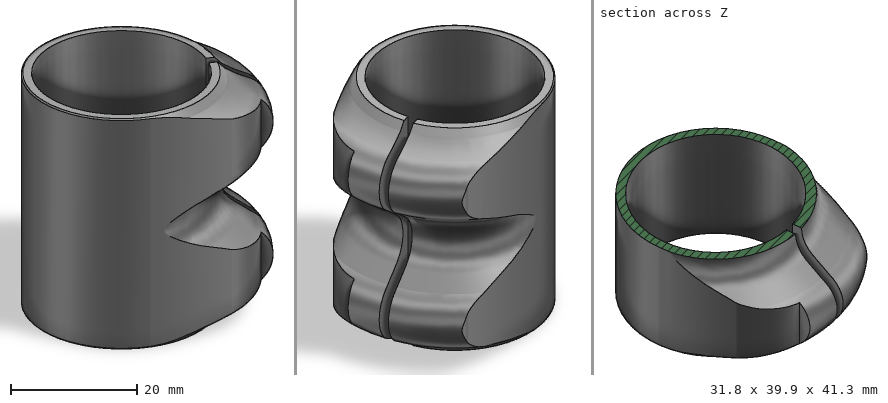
import cadquery as cq
import math

height = 41.25
half_height = height / 2
sleeve_diameter = 31.75
sleeve_radius = sleeve_diameter / 2
bore_radius = 14.25
slot_width = 1.65

end_radius = 15.65
bevel_radius = 16.85
bevel_z = 19.35
hollow_radius = 18.45
hollow_z = 18.3
crest_radius = 24.0
crest_z = 12.05
crest_half_width = 5.15
crest_foot_outer = 20.43
crest_foot_inner = 21.17
valley_edge_radius = 18.4
valley_edge_z = 4.7
valley_radius = 16.0

flare_start_y = 0.35
flare_radius = 59.85
tip_start_y = 19.6
tip_middle = (-12.35, 20.55)
tip_end = (-11.4, 21.2)
shoulder_start_y = 14.05
shoulder_middle = (11.6, 18.08)
step_x = 6.95
step_y = 21.0
outline_top = 24.75


def wavy_body():
    """Solid of revolution about Z, drawn from the top end to the bottom end."""
    outer_foot_z = crest_z + crest_half_width
    inner_foot_z = crest_z - crest_half_width
    return (
        cq.Workplane("XZ")
        .moveTo(0, half_height)
        .lineTo(end_radius, half_height)
        .lineTo(bevel_radius, bevel_z)
        .threePointArc((hollow_radius, hollow_z), (crest_foot_outer, outer_foot_z))
        .threePointArc((crest_radius, crest_z), (crest_foot_inner, inner_foot_z))
        .lineTo(valley_edge_radius, valley_edge_z)
        .threePointArc((valley_radius, 0), (valley_edge_radius, -valley_edge_z))
        .lineTo(crest_foot_inner, -inner_foot_z)
        .threePointArc((crest_radius, -crest_z), (crest_foot_outer, -outer_foot_z))
        .threePointArc((hollow_radius, -hollow_z), (bevel_radius, -bevel_z))
        .lineTo(end_radius, -half_height)
        .lineTo(0, -half_height)
        .close()
        .revolve(360, (0, 0, 0), (0, 1, 0))
    )


def flare_x(y):
    """Half width of the flared sides, which start tangent to the sleeve."""
    rise = y - flare_start_y
    return sleeve_radius - flare_radius + math.sqrt(flare_radius**2 - rise**2)


def plan_prism():
    """Plan outline over the full height: round back, flared sides, stepped +X shoulder."""
    tip_middle_y = (flare_start_y + tip_start_y) / 2
    shoulder_middle_y = (flare_start_y + shoulder_start_y) / 2
    return (
        cq.Workplane("XY", origin=(0, 0, -half_height))
        .moveTo(-sleeve_radius, 0)
        .threePointArc((0, -sleeve_radius), (sleeve_radius, 0))
        .lineTo(sleeve_radius, flare_start_y)
        .threePointArc(
            (flare_x(shoulder_middle_y), shoulder_middle_y),
            (flare_x(shoulder_start_y), shoulder_start_y),
        )
        .threePointArc(shoulder_middle, (step_x, step_y))
        .lineTo(step_x, outline_top)
        .lineTo(tip_end[0], outline_top)
        .lineTo(*tip_end)
        .threePointArc(tip_middle, (-flare_x(tip_start_y), tip_start_y))
        .threePointArc((-flare_x(tip_middle_y), tip_middle_y), (-sleeve_radius, flare_start_y))
        .close()
        .extrude(height)
    )


bore = cq.Workplane("XY").circle(bore_radius).extrude(half_height, both=True)

slot = cq.Workplane("XY").box(slot_width, outline_top, height, centered=(True, False, True))

result = wavy_body().intersect(plan_prism()).cut(bore).cut(slot)